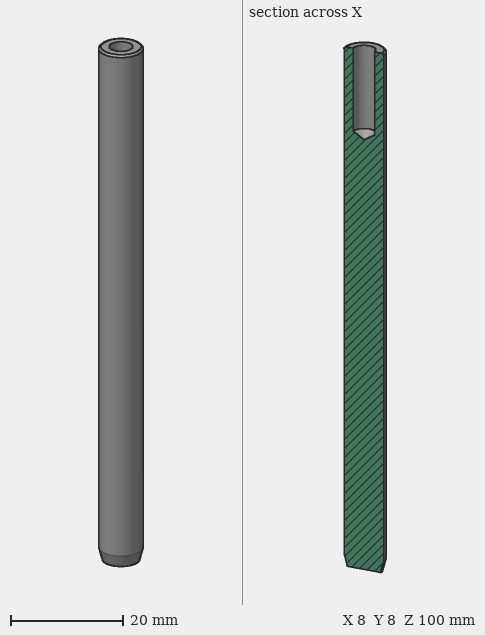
import cadquery as cq
import math

length = 100.0
diameter = 8.0
radius = diameter / 2

lead_length = 2.4
lead_angle = 15.0
lead_radius = radius - lead_length * math.tan(math.radians(lead_angle))

top_chamfer = 0.4

hole_diameter = 4.2
hole_radius = hole_diameter / 2
hole_depth = 16.0
drill_point_angle = 118.0
drill_point_length = hole_radius / math.tan(math.radians(drill_point_angle / 2))
hole_floor = length - hole_depth

result = (
    cq.Workplane("XZ")
    .moveTo(0, 0)
    .lineTo(lead_radius, 0)
    .lineTo(radius, lead_length)
    .lineTo(radius, length - top_chamfer)
    .lineTo(radius - top_chamfer, length)
    .lineTo(hole_radius, length)
    .lineTo(hole_radius, hole_floor)
    .lineTo(0, hole_floor - drill_point_length)
    .close()
    .revolve(360, (0, 0, 0), (0, 1, 0))
)